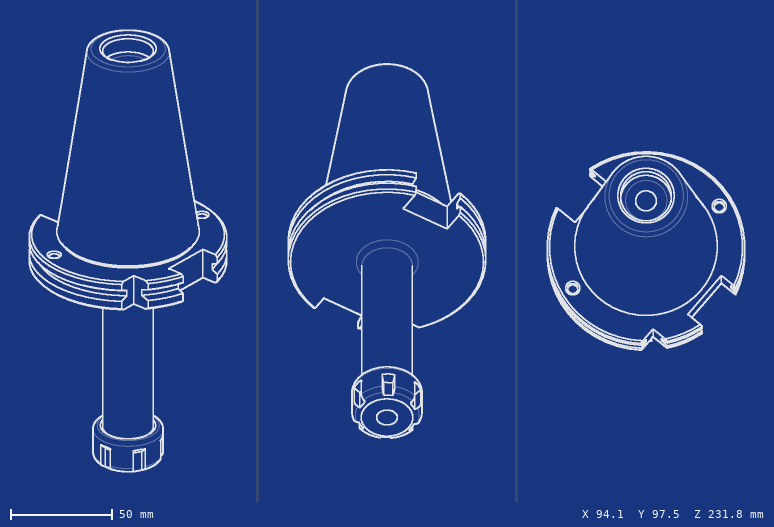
import cadquery as cq
import math

overall_length = 231.8
taper_length = 101.7
nose_z = taper_length - overall_length

gauge_radius = 35.0
taper_ratio = 7 / 24
taper_top_radius = gauge_radius - taper_length * taper_ratio / 2
top_round = 2.0

flange_diameter = 97.5
flange_radius = flange_diameter / 2
flange_top_z = -3.2
flange_thickness = 16.0
flange_bottom_z = flange_top_z - flange_thickness
flange_chamfer = 1.2
neck_radius = 33.8
taper_end_z = -1.5
neck_top_z = -2.5
groove_radius = 45.7
groove_z = -11.0
groove_floor_width = 3.0
groove_mouth_width = 6.0

slot_width = 25.7
left_slot_floor = 35.0
right_slot_floor = 37.8
notch_x = 29.5
notch_y = 29.7

screw_circle_radius = 41.7
screw_angle = 70.0
sink_radius = 3.5
screw_hole_radius = 2.5
screw_hole_depth = 3.5
screw_point_depth = 2.5

shank_radius = 12.5
shank_fillet = 2.8

nut_radius = 17.4
nut_height = 19.2
nut_top_z = nose_z + nut_height
nut_round = 2.0
nut_nose_radius = 12.7
nut_recess_radius = 13.7
nut_recess_depth = 1.0
nut_cone_angle = math.radians(30)
nut_nose_round = 3.2
nut_slot_count = 6
first_nut_slot_angle = 30.0
nut_slot_mouth_width = 6.5
nut_slot_floor_width = 4.6
nut_slot_height = 14.5
short_slot_height = 13.0
short_slot_index = 2
nut_slot_floor = 14.4

pilot_radius = 12.5
pilot_chamfer = 1.5
pilot_depth = 9.5
shoulder_height = 0.7
cone_radius = 10.2
cone_depth = 1.2
coolant_radius = 5.0


def body():
    """Taper with undercut neck, grooved flange, shank and nut as one turned solid."""
    groove_floor = groove_floor_width / 2
    groove_mouth = groove_mouth_width / 2
    nut_corner_z = nose_z + (nut_radius - nut_nose_radius) * math.tan(nut_cone_angle)
    bend_reach = nut_nose_round * math.tan((math.pi / 2 - nut_cone_angle) / 2)
    nut_bend_z = nut_corner_z + bend_reach
    cone_start_radius = nut_radius - bend_reach * math.cos(nut_cone_angle)
    cone_start_z = nut_corner_z - bend_reach * math.sin(nut_cone_angle)
    profile = (
        cq.Workplane("XZ")
        .moveTo(0, taper_length)
        .lineTo(taper_top_radius, taper_length)
        .lineTo(gauge_radius - taper_end_z * taper_ratio / 2, taper_end_z)
        .lineTo(neck_radius, neck_top_z)
        .lineTo(neck_radius, flange_top_z)
        .lineTo(flange_radius - flange_chamfer, flange_top_z)
        .lineTo(flange_radius, flange_top_z - flange_chamfer)
        .lineTo(flange_radius, groove_z + groove_mouth)
        .lineTo(groove_radius, groove_z + groove_floor)
        .lineTo(groove_radius, groove_z - groove_floor)
        .lineTo(flange_radius, groove_z - groove_mouth)
        .lineTo(flange_radius, flange_bottom_z + flange_chamfer)
        .lineTo(flange_radius - flange_chamfer, flange_bottom_z)
        .lineTo(shank_radius + shank_fillet, flange_bottom_z)
        .radiusArc((shank_radius, flange_bottom_z - shank_fillet), -shank_fillet)
        .lineTo(shank_radius, nut_top_z - nut_recess_depth)
        .lineTo(nut_recess_radius, nut_top_z)
        .lineTo(nut_radius - nut_round, nut_top_z)
        .radiusArc((nut_radius, nut_top_z - nut_round), nut_round)
        .lineTo(nut_radius, nut_bend_z)
        .radiusArc((cone_start_radius, cone_start_z), nut_nose_round)
        .lineTo(nut_nose_radius, nose_z)
        .lineTo(0, nose_z)
        .close()
    )
    turned = profile.revolve(360, (0, 0, 0), (0, 1, 0))
    return turned.faces(">Z").edges().fillet(top_round)


def bore():
    """Pilot bore in the small end of the taper, leading by a cone into a through hole."""
    profile = (
        cq.Workplane("XZ")
        .moveTo(0, taper_length)
        .lineTo(pilot_radius + pilot_chamfer, taper_length)
        .lineTo(pilot_radius, taper_length - pilot_chamfer)
        .lineTo(pilot_radius, taper_length - pilot_depth + shoulder_height)
        .lineTo(cone_radius, taper_length - pilot_depth)
        .lineTo(coolant_radius, taper_length - pilot_depth - cone_depth)
        .lineTo(coolant_radius, nose_z)
        .lineTo(0, nose_z)
        .close()
    )
    return profile.revolve(360, (0, 0, 0), (0, 1, 0))


def drive_slot(side, floor):
    """Key slot through the whole flange on the +X or -X side."""
    depth = flange_radius - floor
    return cq.Workplane("XY").box(depth, slot_width, flange_thickness).translate(
        (side * (floor + depth / 2), 0, flange_top_z - flange_thickness / 2)
    )


def orientation_notch():
    """Square corner notch in the +X, -Y quarter of the flange."""
    return (
        cq.Workplane("XY", origin=(0, 0, flange_bottom_z))
        .moveTo(notch_x, -notch_y)
        .rect(flange_radius, -flange_radius, centered=False)
        .extrude(flange_thickness)
    )


def screw_hole(angle):
    """Countersunk blind hole in the upper flange face."""
    sink_depth = sink_radius - screw_hole_radius
    profile = (
        cq.Workplane("XZ")
        .lineTo(sink_radius, 0)
        .lineTo(screw_hole_radius, -sink_depth)
        .lineTo(screw_hole_radius, -screw_hole_depth)
        .lineTo(0, -screw_hole_depth - screw_point_depth)
        .close()
    )
    hole = profile.revolve(360, (0, 0, 0), (0, 1, 0))
    return hole.translate((screw_circle_radius, 0, flange_top_z)).rotate((0, 0, 0), (0, 0, 1), angle)


def nut_slot(angle, height):
    """Wrench slot in the nut: open at the nose, narrowing inward, with a sloping upper end."""
    depth = nut_radius - nut_slot_floor
    half_mouth = nut_slot_mouth_width / 2
    half_floor = nut_slot_floor_width / 2
    section = (
        cq.Workplane("XY", origin=(0, 0, nose_z))
        .moveTo(nut_slot_floor, -half_floor)
        .lineTo(nut_radius, -half_mouth)
        .lineTo(nut_radius, half_mouth)
        .lineTo(nut_slot_floor, half_floor)
        .close()
        .extrude(height)
    )
    upper_slope = (
        cq.Workplane("XZ")
        .moveTo(nut_slot_floor, nose_z + height - depth)
        .lineTo(nut_radius, nose_z + height)
        .lineTo(nut_slot_floor, nose_z + height)
        .close()
        .extrude(half_mouth, both=True)
    )
    return section.cut(upper_slope).rotate((0, 0, 0), (0, 0, 1), angle)


result = body()
result = result.cut(bore())
result = result.cut(drive_slot(-1, left_slot_floor))
result = result.cut(drive_slot(1, right_slot_floor))
result = result.cut(orientation_notch())
for angle in (screw_angle, screw_angle + 180):
    result = result.cut(screw_hole(angle))
for index in range(nut_slot_count):
    slot_angle = first_nut_slot_angle + index * 360 / nut_slot_count
    slot_height = short_slot_height if index == short_slot_index else nut_slot_height
    result = result.cut(nut_slot(slot_angle, slot_height))